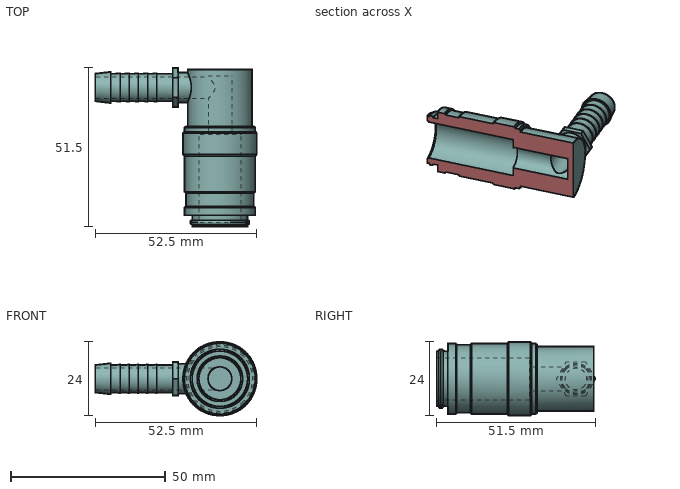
import cadquery as cq
import math


BODY_LENGTH = 51.0
NOSE_LENGTH = 3.65
FLANGE_END = 6.65
NECK_END = 10.85
BAND_START = 22.9
BAND_END = 30.85
SLEEVE_END = 32.6

NOSE_DIA = 18.0
SLEEVE_DIA = 23.0
NECK_DIA = 22.1
BAND_DIA = 24.0
BACK_DIA = 21.0
EDGE_CHAMFER = 0.5

RING_POSITION = 1.4
RING_OUTER_DIA = 19.2
RING_SECTION_RADIUS = 0.75

BORE_DIA = 13.6
BORE_DEPTH = 30.0
BORE_CHAMFER = 0.6
CHANNEL_DIA = 7.7

TAIL_REACH = 40.5
TAIL_BORE_DIA = 7.0
STEM_DIA = 9.0
TIP_LENGTH = 5.1
TIP_DIA = 10.2
BARB_DIA = 9.35
BARB_PITCH = 3.0
BARB_COUNT = 5
HEX_START = 25.15
HEX_THICKNESS = 1.8
HEX_FLATS = 11.0
SHANK_DIA = 9.8

HEX_OVERHANG = 0.5

hex_corners = HEX_FLATS / math.cos(math.pi / 6)
back_y = hex_corners / 2 - HEX_OVERHANG
front_y = back_y - BODY_LENGTH
tip_x = -TAIL_REACH


def body_disc(diameter, start, end):
    """Cylinder about the Y axis between two distances from the open end."""
    plane = cq.Workplane("XZ", origin=(0, front_y + end, 0))
    return plane.circle(diameter / 2).extrude(end - start)


def make_body():
    nose = body_disc(NOSE_DIA, 0, NOSE_LENGTH)
    flange = body_disc(SLEEVE_DIA, NOSE_LENGTH, FLANGE_END).faces(">Y").chamfer(EDGE_CHAMFER)
    neck = body_disc(NECK_DIA, NOSE_LENGTH, BAND_START)
    sleeve = body_disc(SLEEVE_DIA, NECK_END, SLEEVE_END).faces("<Y or >Y").chamfer(EDGE_CHAMFER)
    band = body_disc(BAND_DIA, BAND_START, BAND_END).faces("<Y or >Y").chamfer(EDGE_CHAMFER)
    back = body_disc(BACK_DIA, BAND_START, BODY_LENGTH)
    return nose.union(flange).union(neck).union(sleeve).union(band).union(back)


def make_ring():
    centre_radius = RING_OUTER_DIA / 2 - RING_SECTION_RADIUS
    ring_centre = cq.Vector(0, front_y + RING_POSITION, 0)
    ring = cq.Solid.makeTorus(centre_radius, RING_SECTION_RADIUS, ring_centre, cq.Vector(0, 1, 0))
    return cq.Workplane(obj=ring)


def make_tail_stem():
    """Solid hose tail with a conical tip and sawtooth barbs, from the tip to the body axis."""
    stem_radius = STEM_DIA / 2
    tip_end = tip_x + TIP_LENGTH

    profile = cq.Workplane("XY").moveTo(tip_x, 0).lineTo(tip_x, stem_radius)
    profile = profile.lineTo(tip_end, TIP_DIA / 2).lineTo(tip_end, stem_radius)
    for index in range(BARB_COUNT):
        barb_end = tip_end + (index + 1) * BARB_PITCH
        profile = profile.lineTo(barb_end - BARB_PITCH / 2, stem_radius)
        profile = profile.lineTo(barb_end, BARB_DIA / 2)
        profile = profile.lineTo(barb_end, stem_radius)
    shank_start = tip_x + HEX_START
    profile = profile.lineTo(shank_start, stem_radius).lineTo(shank_start, SHANK_DIA / 2)
    profile = profile.lineTo(0, SHANK_DIA / 2).lineTo(0, 0).close()
    return profile.revolve(360, (0, 0, 0), (1, 0, 0))


def make_hexagon():
    """Hexagon collar with two corners on the Y direction."""
    plane = cq.Workplane("YZ", origin=(tip_x + HEX_START, 0, 0))
    return plane.polygon(6, hex_corners).extrude(HEX_THICKNESS)


def make_passage():
    """Main bore, narrower channel reaching just past the tail bore, and the tail bore."""
    channel_end = CHANNEL_DIA / 2 - front_y
    mouth_dia = BORE_DIA + 2 * BORE_CHAMFER
    main_bore = body_disc(BORE_DIA, 0, BORE_DEPTH)
    mouth_centre = cq.Vector(0, front_y, 0)
    mouth = cq.Solid.makeCone(mouth_dia / 2, BORE_DIA / 2, BORE_CHAMFER, mouth_centre, cq.Vector(0, 1, 0))
    channel = body_disc(CHANNEL_DIA, 0, channel_end)
    tail_bore = cq.Workplane("YZ", origin=(tip_x, 0, 0)).circle(TAIL_BORE_DIA / 2).extrude(TAIL_REACH)
    return main_bore.union(cq.Workplane(obj=mouth)).union(channel).union(tail_bore)


outside = make_body().union(make_ring()).union(make_tail_stem()).union(make_hexagon())
result = outside.cut(make_passage())